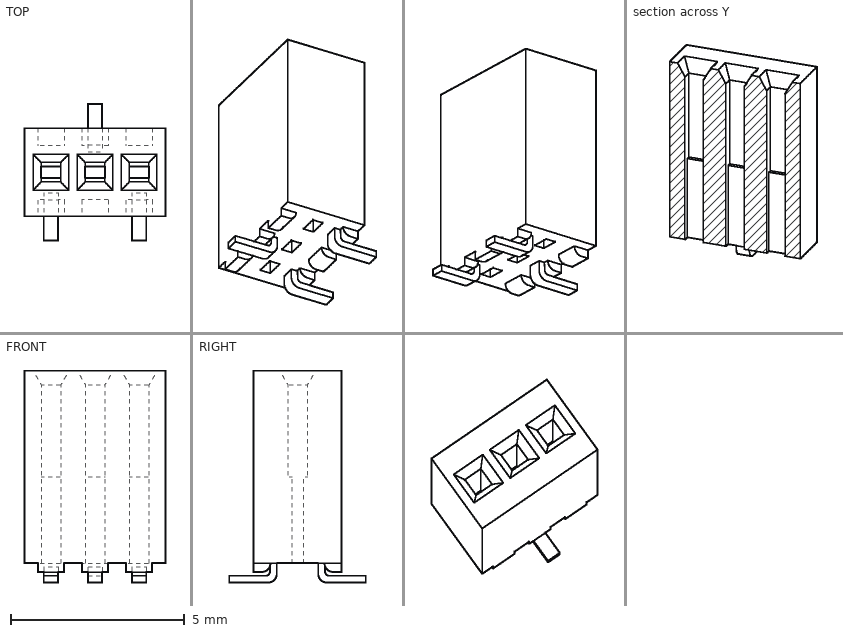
import cadquery as cq

POLES = 3
PITCH = 1.27
HOUSING_LENGTH = 4.06
HOUSING_DEPTH = 2.54
HOUSING_BOTTOM = 0.56
HOUSING_TOP = 6.1

FOOT_WIDTH = 0.755
FOOT_HEIGHT = 0.255
FOOT_INNER_Y = 0.775

MOUTH_SIZE = 1.025
BORE_SIZE = 0.56
MOUTH_DEPTH = 0.4
BORE_DEPTH = 3.05
SLOT_DEPTH_Y = 0.33

TAIL_WIDTH = 0.415
TAIL_THICKNESS = 0.2
TAIL_INNER_Y = 0.59
TAIL_REACH = 1.97
BEND_INNER_RADIUS = 0.13
BEND_OUTER_RADIUS = 0.26

FRONT = -1
REAR = 1
FRONT_TAIL_POLES = (0, 2)
REAR_TAIL_POLE = 1


def pole_x(index):
    """X position of a pole, counted from the -X end."""
    return (index - (POLES - 1) / 2) * PITCH


def make_block():
    height = HOUSING_TOP - HOUSING_BOTTOM
    return (
        cq.Workplane("XY")
        .workplane(offset=HOUSING_BOTTOM)
        .rect(HOUSING_LENGTH, HOUSING_DEPTH)
        .extrude(height)
    )


def make_foot(x, side):
    """Foot flush with the front or rear wall, its inner edge rounded over the full height."""
    outer_y = HOUSING_DEPTH / 2
    foot_bottom = HOUSING_BOTTOM - FOOT_HEIGHT
    foot = (
        cq.Workplane("YZ")
        .moveTo(side * outer_y, HOUSING_BOTTOM)
        .lineTo(side * outer_y, foot_bottom)
        .lineTo(side * (FOOT_INNER_Y + FOOT_HEIGHT), foot_bottom)
        .radiusArc((side * FOOT_INNER_Y, HOUSING_BOTTOM), side * FOOT_HEIGHT)
        .close()
        .extrude(FOOT_WIDTH / 2, both=True)
    )
    return foot.translate((x, 0, 0))


def make_socket(x):
    """Volume removed for one socket."""
    mouth = (
        cq.Workplane("XY")
        .workplane(offset=HOUSING_TOP)
        .rect(MOUTH_SIZE, MOUTH_SIZE)
        .workplane(offset=-MOUTH_DEPTH)
        .rect(BORE_SIZE, BORE_SIZE)
        .loft(ruled=True)
    )
    bore = (
        cq.Workplane("XY")
        .workplane(offset=HOUSING_TOP)
        .rect(BORE_SIZE, BORE_SIZE)
        .extrude(-BORE_DEPTH)
    )
    slot = (
        cq.Workplane("XY")
        .workplane(offset=HOUSING_BOTTOM)
        .rect(BORE_SIZE, SLOT_DEPTH_Y)
        .extrude(HOUSING_TOP - HOUSING_BOTTOM)
    )
    return mouth.union(bore).union(slot).translate((x, 0, 0))


def make_tail(x, side):
    """Strip hanging from the housing underside and bent outward onto the Z = 0 plane."""
    outer_y = TAIL_INNER_Y + TAIL_THICKNESS
    outer_bend_y = TAIL_INNER_Y + BEND_OUTER_RADIUS
    inner_bend_y = outer_y + BEND_INNER_RADIUS
    inner_bend_z = TAIL_THICKNESS + BEND_INNER_RADIUS
    tail = (
        cq.Workplane("YZ")
        .moveTo(side * TAIL_INNER_Y, HOUSING_BOTTOM)
        .lineTo(side * TAIL_INNER_Y, BEND_OUTER_RADIUS)
        .radiusArc((side * outer_bend_y, 0), -side * BEND_OUTER_RADIUS)
        .lineTo(side * TAIL_REACH, 0)
        .lineTo(side * TAIL_REACH, TAIL_THICKNESS)
        .lineTo(side * inner_bend_y, TAIL_THICKNESS)
        .radiusArc((side * outer_y, inner_bend_z), side * BEND_INNER_RADIUS)
        .lineTo(side * outer_y, HOUSING_BOTTOM)
        .close()
        .extrude(TAIL_WIDTH / 2, both=True)
    )
    return tail.translate((x, 0, 0))


def make_housing():
    """Block with feet and sockets; each front tail is let into the foot in front of it."""
    body = make_block()
    for pole in range(POLES):
        x = pole_x(pole)
        for side in (FRONT, REAR):
            body = body.union(make_foot(x, side))
        body = body.cut(make_socket(x))
    for pole in FRONT_TAIL_POLES:
        body = body.cut(make_tail(pole_x(pole), FRONT))
    return body.union(make_tail(pole_x(REAR_TAIL_POLE), REAR))


housing = make_housing()
front_tails = [make_tail(pole_x(pole), FRONT) for pole in FRONT_TAIL_POLES]

result = cq.Compound.makeCompound([housing.val(), *[tail.val() for tail in front_tails]])